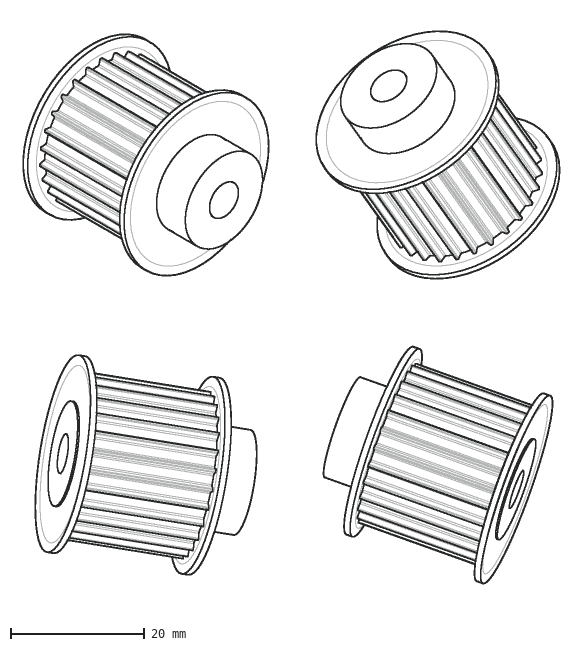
import cadquery as cq
import math

flange_radius = 15.0
flange_span = 22.0
hub_projection = 6.0
hub_radius = 8.0
bore_radius = 3.0

rim_thickness = 1.0
dish_depth = 0.27
dish_radius = 13.5

tooth_count = 27
tip_radius = 12.72
root_radius = 11.67
tip_half_width = 0.225
root_half_width = 0.5
tip_fillet = 0.135
root_fillet = 0.255

total_length = flange_span + hub_projection
drum_start = rim_thickness + dish_depth
drum_length = flange_span - 2 * drum_start


def cylinder(radius, start, length):
    """Solid cylinder along X."""
    return cq.Workplane("YZ", origin=(start, 0, 0)).circle(radius).extrude(length)


def flange(rim_x, inward):
    """Dished disc; rim_x is its outer rim plane, inward is +1 or -1 along X."""
    dish_x = rim_x + inward * dish_depth
    profile = [
        (dish_x, 0),
        (dish_x, dish_radius),
        (rim_x, flange_radius),
        (rim_x + inward * rim_thickness, flange_radius),
        (dish_x + inward * rim_thickness, dish_radius),
        (dish_x + inward * rim_thickness, 0),
    ]
    return cq.Workplane("XY").polyline(profile).close().revolve(360, (0, 0, 0), (1, 0, 0))


def tooth_point(index, radius, offset):
    """Point on a tooth at a radius, offset sideways (clockwise) from the tooth's centre line."""
    angle = math.pi / 2 + index * 2 * math.pi / tooth_count - math.asin(offset / radius)
    return radius * math.cos(angle), radius * math.sin(angle)


def lengthwise_edges(drum, at_tips):
    """Edges along the teeth, either those at the tips or those at the roots."""
    middle_radius = (root_radius + tip_radius) / 2
    chosen = []
    for edge in drum.edges("|X").vals():
        center = edge.Center()
        if (math.hypot(center.y, center.z) > middle_radius) == at_tips:
            chosen.append(edge)
    return drum.newObject(chosen)


def toothed_drum():
    """Drum with straight-flanked, rounded teeth, one of them centred on +Z."""
    outline = cq.Workplane("YZ", origin=(drum_start, 0, 0))
    outline = outline.moveTo(*tooth_point(0, root_radius, root_half_width))
    for index in range(tooth_count):
        tip_middle = tooth_point(index, tip_radius, 0)
        tip_end = tooth_point(index, tip_radius, -tip_half_width)
        gap_middle = tooth_point(index + 0.5, root_radius, 0)
        gap_end = tooth_point(index + 1, root_radius, root_half_width)
        outline = (
            outline.lineTo(*tooth_point(index, tip_radius, tip_half_width))
            .threePointArc(tip_middle, tip_end)
            .lineTo(*tooth_point(index, root_radius, -root_half_width))
            .threePointArc(gap_middle, gap_end)
        )
    drum = outline.close().extrude(drum_length)
    drum = lengthwise_edges(drum, at_tips=False).fillet(root_fillet)
    return lengthwise_edges(drum, at_tips=True).fillet(tip_fillet)


result = (
    toothed_drum()
    .union(flange(0, 1))
    .union(flange(flange_span, -1))
    .union(cylinder(hub_radius, 0, total_length))
    .cut(cylinder(bore_radius, 0, total_length))
)